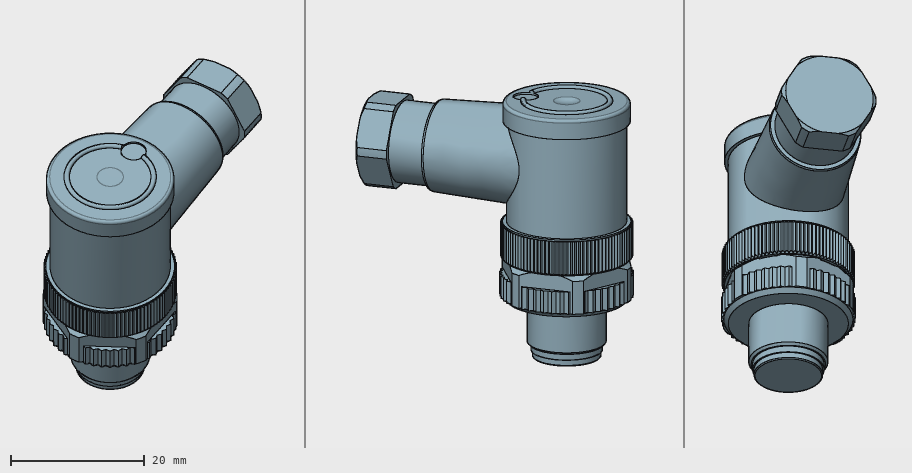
import cadquery as cq
import math


overall_length = 41.1
overall_width = 20.0

half_hexagon_step = 30

insert_radius = 5.35
tip_radius = 5.15
tip_height = 1.03
tip_chamfer = 0.15

shank_radius = 5.9
shank_bottom = 2.0
shank_chamfer = 0.35
coupling_bottom = 9.0
coupling_bevel_height = 0.7
coupling_bevel_inset = 0.65
coupling_radius = overall_width / 2
coupling_flat_distance = 9.05
coupling_top = 15.55
coupling_top_chamfer = 0.75
grip_top = 13.15
grip_teeth = 50
grip_tooth_depth = 0.35
grip_bottom = coupling_bottom + coupling_bevel_height
grip_root_radius = coupling_radius - grip_tooth_depth

ring_radius = 9.9
ring_root_radius = 9.6
ring_teeth = 100
ring_top = 21.2
ring_lip_height = 0.25
ring_chamfer = 0.35

barrel_radius = 9.0
cap_bottom = 36.9
cap_radius = 9.55
cap_top = 39.97
cap_fillet = 0.5
bead_center_radius = 6.5
bead_radius = 0.4
dimple_radius = 1.97
dimple_depth = 0.33
badge_radius = 1.9
badge_depth = 0.3

cable_axis_height = 30.75
arm_root_radius = 7.85
arm_end_radius = 7.0
arm_end = 20.6
arm_bevel_length = 0.33
arm_bevel_inset = 0.12

neck_radius = 6.2
cable_hex_start = 26.05
cable_end = overall_length - coupling_radius
cable_hex_radius = 7.2
cable_hex_flat_distance = 6.55
cable_hex_chamfer_length = 0.4
cable_hex_chamfer_inset = 0.55


def cylinder(radius, bottom, top):
    return cq.Workplane("XY").workplane(offset=bottom).circle(radius).extrude(top - bottom)


def hexagon(flat_distance, bottom, top):
    """Hexagonal prism along Z with two of its flats facing -X and +X."""
    corner_distance = flat_distance / math.cos(math.radians(half_hexagon_step))
    prism = cq.Workplane("XY").polygon(6, 2 * corner_distance).extrude(top - bottom)
    return prism.rotate((0, 0, 0), (0, 0, 1), half_hexagon_step).translate((0, 0, bottom))


def toothed_disc(tip, root, teeth, bottom, top):
    """Disc along Z with V-shaped teeth, one of them pointing along +X."""
    points = []
    for step in range(2 * teeth):
        radius = tip if step % 2 == 0 else root
        angle = math.pi * step / teeth
        points.append((radius * math.cos(angle), radius * math.sin(angle)))
    return cq.Workplane("XY").workplane(offset=bottom).polyline(points).close().extrude(top - bottom)


def along_cable(shape):
    """Turn a shape built along Z onto the cable axis, so that its height runs along +Y."""
    return shape.rotate((0, 0, 0), (1, 0, 0), -90).translate((0, 0, cable_axis_height))


def make_insert():
    tip = cylinder(tip_radius, 0, tip_height).faces("<Z").chamfer(tip_chamfer)
    return tip.union(cylinder(insert_radius, tip_height, coupling_top))


def make_coupling():
    shank = cylinder(shank_radius, shank_bottom, coupling_bottom).faces("<Z").chamfer(shank_chamfer)
    bevel = (
        cq.Workplane("XY", origin=(0, 0, coupling_bottom))
        .circle(grip_root_radius - coupling_bevel_inset)
        .workplane(offset=coupling_bevel_height)
        .circle(grip_root_radius)
        .loft()
    )
    grip = toothed_disc(coupling_radius, grip_root_radius, grip_teeth, grip_bottom, grip_top)
    envelope = cylinder(coupling_radius, grip_bottom, coupling_top).faces(">Z").chamfer(coupling_top_chamfer)
    hexagon_part = hexagon(coupling_flat_distance, grip_bottom, coupling_top).intersect(envelope)
    bore = cylinder(insert_radius, shank_bottom, coupling_top)
    return hexagon_part.union(grip).union(bevel).union(shank).cut(bore)


def make_ring():
    teeth_top = ring_top - ring_lip_height
    teeth = toothed_disc(ring_radius, ring_root_radius, ring_teeth, coupling_top, teeth_top)
    teeth = teeth.rotate((0, 0, 0), (0, 0, 1), 180 / ring_teeth)
    envelope = cylinder(ring_radius, coupling_top, teeth_top).faces("<Z").chamfer(ring_chamfer)
    lip = cylinder(ring_root_radius, teeth_top, ring_top)
    bore = cylinder(barrel_radius, coupling_top, ring_top)
    return teeth.intersect(envelope).union(lip).cut(bore)


def make_arm():
    profile = [
        (0, 0),
        (arm_root_radius, 0),
        (arm_end_radius, arm_end - arm_bevel_length),
        (arm_end_radius - arm_bevel_inset, arm_end),
        (0, arm_end),
    ]
    arm = cq.Workplane("XZ").polyline(profile).close().revolve(360, (0, 0, 0), (0, 1, 0))
    return along_cable(arm)


def make_bead():
    """Half-round circular bead standing on the cap."""
    return (
        cq.Workplane("XZ")
        .moveTo(bead_center_radius - bead_radius, cap_top)
        .threePointArc(
            (bead_center_radius, cap_top + bead_radius),
            (bead_center_radius + bead_radius, cap_top),
        )
        .close()
        .revolve(360, (0, 0, 0), (0, 1, 0))
    )


def make_housing():
    barrel = cylinder(barrel_radius, coupling_top, cap_bottom)
    cap = cylinder(cap_radius, cap_bottom, cap_top).faces(">Z").edges().fillet(cap_fillet)
    body = barrel.union(cap).union(make_arm()).union(make_bead())
    badge = cylinder(badge_radius, cap_top - badge_depth, cap_top + bead_radius)
    badge = badge.translate((0, bead_center_radius, 0))
    ball_radius = (dimple_radius**2 + dimple_depth**2) / (2 * dimple_depth)
    ball = cq.Workplane("XY").sphere(ball_radius).translate((0, 0, cap_top - dimple_depth + ball_radius))
    return body.cut(badge).cut(ball)


def make_cable_nut():
    neck = cylinder(neck_radius, arm_end, cable_hex_start)
    envelope = cylinder(cable_hex_radius, cable_hex_start, cable_end)
    envelope = envelope.faces(">Z").chamfer(cable_hex_chamfer_length, cable_hex_chamfer_inset)
    head = hexagon(cable_hex_flat_distance, cable_hex_start, cable_end)
    head = head.rotate((0, 0, 0), (0, 0, 1), half_hexagon_step).intersect(envelope)
    return along_cable(neck.union(head))


insert = make_insert()
coupling = make_coupling()
ring = make_ring()
housing = make_housing()
cable_nut = make_cable_nut()

result = cq.Compound.makeCompound(
    [body.solids().val() for body in (insert, coupling, ring, housing, cable_nut)]
)